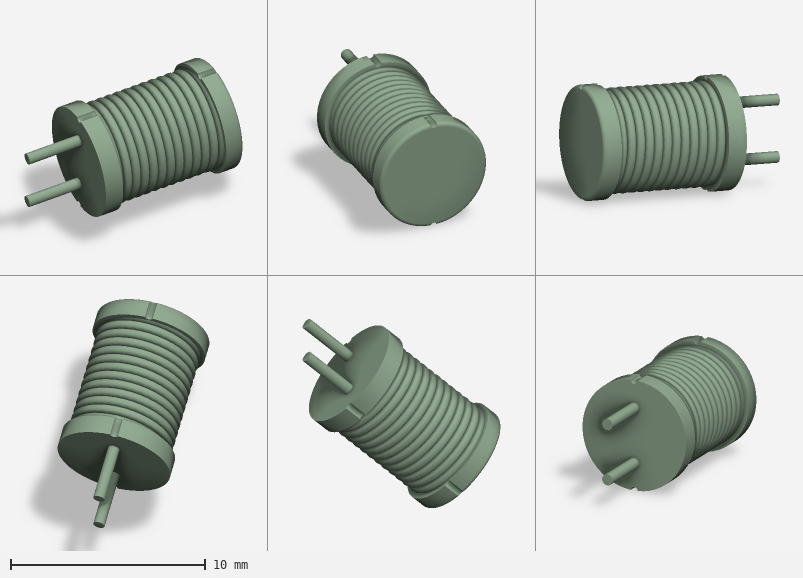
import cadquery as cq


flange_radius = 3.0
flange_thickness = 1.0
winding_length = 6.0
back_edge_fillet = 0.2
body_length = winding_length + 2 * flange_thickness
winding_front = flange_thickness
winding_back = winding_front + winding_length

notch_radius = 0.2

lead_radius = 0.3
lead_length = 3.0
lead_spacing = 3.0

turn_count = 12
turn_pitch = winding_length / turn_count
turn_clearance = 0.01
wire_radius = (turn_pitch - turn_clearance) / 2
coil_mean_radius = 2.5
core_radius = coil_mean_radius - wire_radius
run_out_turns = 1


def cylinder_along_y(radius, y_start, length, z_center=0.0):
    """Cylinder parallel to Y, running from y_start toward +Y."""
    start = cq.Vector(0, y_start, z_center)
    return cq.Workplane(obj=cq.Solid.makeCylinder(radius, length, start, cq.Vector(0, 1, 0)))


def make_bobbin():
    """Core, two notched flanges and the two leads as one body."""
    front_flange = cylinder_along_y(flange_radius, 0, flange_thickness)
    back_flange = cylinder_along_y(flange_radius, winding_back, flange_thickness)
    back_flange = back_flange.faces(">Y").edges().fillet(back_edge_fillet)
    core = cylinder_along_y(core_radius, winding_front, winding_length)
    bobbin = front_flange.union(core).union(back_flange)

    for side in (-1, 1):
        notch = cylinder_along_y(notch_radius, 0, body_length, side * flange_radius)
        bobbin = bobbin.cut(notch)
        lead = cylinder_along_y(lead_radius, -lead_length, lead_length, side * lead_spacing / 2)
        bobbin = bobbin.union(lead)
    return bobbin


def make_coil():
    """Left-hand helical wire, trimmed flush with the inner faces of the flanges."""
    run_out = run_out_turns * turn_pitch
    helix = cq.Wire.makeHelix(
        turn_pitch, winding_length + 2 * run_out, coil_mean_radius, lefthand=True
    )
    wire = (
        cq.Workplane("XZ", origin=(coil_mean_radius, 0, 0))
        .circle(wire_radius)
        .sweep(cq.Workplane(obj=helix), isFrenet=True)
        .rotate((0, 0, 0), (1, 0, 0), 90)
        .translate((0, winding_back + run_out, 0))
    )
    winding_space = cylinder_along_y(flange_radius, winding_front, winding_length)
    return wire.intersect(winding_space)


bobbin = make_bobbin()
coil = make_coil()

result = cq.Compound.makeCompound([bobbin.solids().val(), coil.solids().val()])